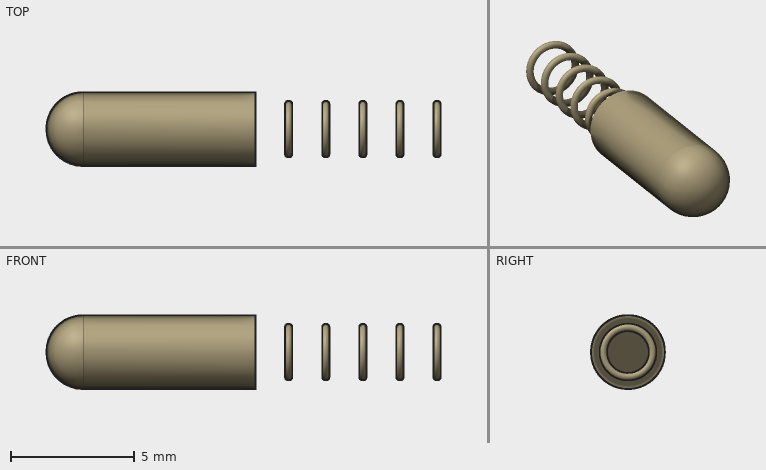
import cadquery as cq

total_length = 16.0
capsule_diameter = 3.0
capsule_length = 8.5

ring_count = 5
ring_pitch = 1.5
ring_outer_diameter = 2.3
wire_diameter = 0.3

capsule_radius = capsule_diameter / 2
wire_radius = wire_diameter / 2
ring_centre_radius = ring_outer_diameter / 2 - wire_radius
last_ring_x = total_length - wire_radius


def make_capsule():
    """Solid rod along X with a hemispherical nose at X = 0 and a flat rear end."""
    return (
        cq.Workplane("XY")
        .moveTo(0, 0)
        .radiusArc((capsule_radius, capsule_radius), capsule_radius)
        .lineTo(capsule_length, capsule_radius)
        .lineTo(capsule_length, 0)
        .close()
        .revolve(360, (0, 0, 0), (1, 0, 0))
    )


def make_ring(centre_x):
    """Round-section ring around the X axis, centred at centre_x."""
    return (
        cq.Workplane("XY")
        .center(centre_x, ring_centre_radius)
        .circle(wire_radius)
        .revolve(360, (0, -ring_centre_radius, 0), (1, -ring_centre_radius, 0))
    )


capsule = make_capsule()

rings = []
for index in range(ring_count):
    ring_x = last_ring_x - index * ring_pitch
    rings.append(make_ring(ring_x).val())

result = cq.Compound.makeCompound([capsule.val(), *rings])